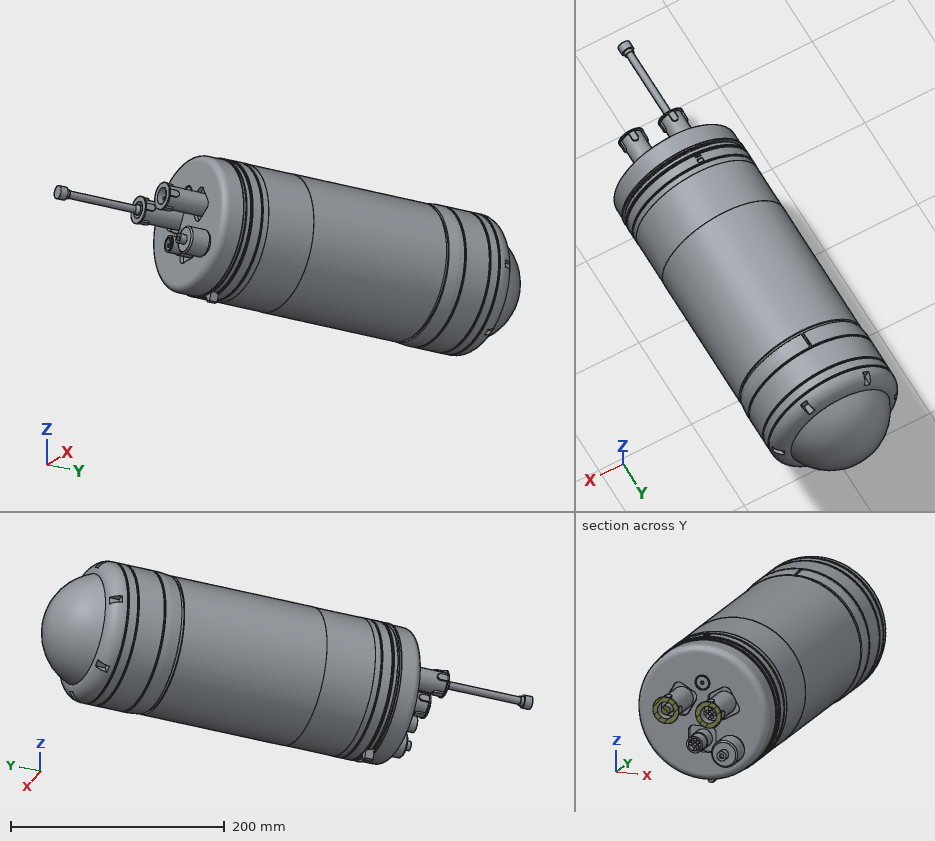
import cadquery as cq
import math


tube_dia = 133.0
band_dia = tube_dia - 0.5
rear_cap_dia = 131.0
rear_face_dia = 118.0
rear_neck_dia = 128.0
nose_dia = 135.5
neck_dia = 129.0

bead_start, bead_end = 21.5, 23.5
rear_neck_end = 25.3
rear_cap_end = 29.0
band_start, band_end = 48.5, 98.0
neck_start, neck_end = 244.0, 246.5
nose_taper_end = 257.5
nose_front = 319.0
nose_round = 14.5
dome_tip = 356.0

groove_width = 1.5
groove_depth = 1.0
cut_clearance = 5.0
tube_groove_stations = [30.5, 42.0]
nose_groove_stations = [264.0, 291.5, 301.5]

notch_count = 6
notch_width = 7.0
notch_floor_radius = 59.3
notch_start, notch_end = 308.0, 317.5

slit_width = 2.0
slit_depth = 2.5
clasp_x = -8.5
clasp_width = 5.5
clasp_depth = 2.0
clasp_pockets = [(32.0, 34.0), (36.5, 40.5)]

tab_start, tab_end = 23.0, 31.0
tab_root_width = 11.5
tab_tip_width = 4.0
tab_drop = 6.0
tab_overlap = 1.5
tab_root_z = -rear_cap_dia / 2 + tab_overlap
tab_tip_z = -nose_dia / 2 - tab_drop

recess_length, recess_width = 27.5, 25.3
recess_corner = 6.0
recess_depth = 4.0

barrel_x, barrel_z = 21.5, 12.0
barrel_tilt = 60
barrel_dia = 22.0
lug_count = 4
barrel_length = 41.5
bore_dia = 16.0
bore_depth = 10.5
lip_dia = 26.0
lip_length = 1.5
lug_width = 6.5
lug_length = 11.5
lug_height = 1.5
pin_dia = 3.0
pin_length = 6.0
pin_circle_dia = 9.0
pin_count = 4

lower_z = -25.0
lower_base_dia, lower_base_length = 17.5, 8.5
lower_tip_dia, lower_length = 16.0, 20.5
lower_bore_dia, lower_bore_depth = 12.5, 7.5

plug_x, plug_z = 30.0, -30.5
plug_dia, plug_length = 26.0, 22.0
plug_chamfer = 1.5
plug_foot_dia, plug_foot_length = 23.0, 2.5
plug_tip_dia, plug_tip_length = 9.0, 7.0
plug_hole_dia, plug_hole_depth = 4.3, 3.0

vent_z = 30.0
vent_outer_dia, vent_inner_dia = 14.5, 12.5
vent_groove_depth = 1.5
vent_hole_dia, vent_hole_depth = 3.25, 3.0

antenna_dia = 7.5
antenna_stem_dia = 9.0
antenna_flare_dia = 10.5
antenna_flare_length = 4.5
antenna_length = 129.5
antenna_cap_dia = 12.5
antenna_cap_length = 8.0
antenna_collar_length = 3.5
antenna_socket_depth = 7.5


def rear_disc(x, z, dia, start, end):
    """Cylinder along Y between two distances measured rearward from the rear face."""
    return cq.Workplane("XZ", origin=(x, -start, z)).circle(dia / 2).extrude(end - start)


def box_between(x_range, y_range, z_range):
    """Axis-aligned box given by its limits."""
    sizes = [high - low for low, high in (x_range, y_range, z_range)]
    corner = (x_range[0], y_range[0], z_range[0])
    return cq.Workplane("XY", origin=corner).box(*sizes, centered=False)


def housing_shell():
    """Turned outline of the rear cap, tube, nose and dome."""
    rear_round = (rear_cap_dia - rear_face_dia) / 2
    nose_radius = nose_dia / 2
    dome_base_radius = nose_radius - nose_round
    dome_height = dome_tip - nose_front
    dome_radius = (dome_base_radius ** 2 + dome_height ** 2) / (2 * dome_height)
    dome_centre = dome_tip - dome_radius
    mid_dome = 0.5 * math.asin(dome_base_radius / dome_radius)
    diagonal = math.sqrt(0.5)
    return (
        cq.Workplane("XY")
        .lineTo(rear_face_dia / 2, 0)
        .threePointArc(
            (rear_face_dia / 2 + rear_round * diagonal, rear_round * (1 - diagonal)),
            (rear_cap_dia / 2, rear_round),
        )
        .lineTo(rear_cap_dia / 2, bead_start)
        .lineTo(tube_dia / 2, bead_start)
        .lineTo(tube_dia / 2, bead_end)
        .lineTo(rear_neck_dia / 2, bead_end)
        .lineTo(rear_neck_dia / 2, rear_neck_end)
        .lineTo(rear_cap_dia / 2, rear_neck_end)
        .lineTo(rear_cap_dia / 2, rear_cap_end)
        .lineTo(tube_dia / 2, rear_cap_end)
        .lineTo(tube_dia / 2, band_start)
        .lineTo(band_dia / 2, band_start)
        .lineTo(band_dia / 2, band_end)
        .lineTo(tube_dia / 2, band_end)
        .lineTo(tube_dia / 2, neck_start)
        .lineTo(neck_dia / 2, neck_start)
        .lineTo(neck_dia / 2, neck_end)
        .lineTo(tube_dia / 2, neck_end)
        .lineTo(nose_radius, nose_taper_end)
        .lineTo(nose_radius, nose_front - nose_round)
        .threePointArc(
            (dome_base_radius + nose_round * diagonal, nose_front - nose_round * (1 - diagonal)),
            (dome_base_radius, nose_front),
        )
        .threePointArc(
            (dome_radius * math.sin(mid_dome), dome_centre + dome_radius * math.cos(mid_dome)),
            (0, dome_tip),
        )
        .close()
        .revolve(360, (0, 0, 0), (0, 1, 0))
    )


def ring_groove(outer_dia, station):
    """Narrow square groove round the housing, centred on a station along Y."""
    start = -station - groove_width / 2
    end = -station + groove_width / 2
    blank = rear_disc(0, 0, nose_dia + cut_clearance, start, end)
    core_dia = outer_dia - 2 * groove_depth
    return blank.cut(rear_disc(0, 0, core_dia, start, end))


def nose_notches():
    """Notches in the rounded shoulder of the nose, spaced round the axis."""
    notch = box_between(
        (notch_floor_radius, nose_dia / 2),
        (notch_start, notch_end),
        (-notch_width / 2, notch_width / 2),
    )
    step = 360 / notch_count
    return [notch.rotate((0, 0, 0), (0, 1, 0), step * i) for i in range(notch_count)]


def top_slot(x, width, y_range, depth, outer_dia):
    """Short slot cut into the top of a ring of the given diameter."""
    return box_between(
        (x - width / 2, x + width / 2), y_range, (outer_dia / 2 - depth, outer_dia / 2 + cut_clearance)
    )


def clamp_tab():
    """Tapered tab hanging below the rear cap."""
    return (
        cq.Workplane("XZ", origin=(0, tab_end, 0))
        .moveTo(-tab_root_width / 2, tab_root_z)
        .lineTo(tab_root_width / 2, tab_root_z)
        .lineTo(tab_tip_width / 2, tab_tip_z)
        .lineTo(-tab_tip_width / 2, tab_tip_z)
        .close()
        .extrude(tab_end - tab_start)
    )


def flange_recess(x, z, tilt):
    """Rounded rectangular recess in the rear face."""
    return (
        cq.Workplane("XZ", origin=(x, recess_depth, z))
        .rect(recess_length, recess_width)
        .extrude(recess_depth)
        .edges("|Y")
        .fillet(recess_corner)
        .rotate((x, 0, z), (x, 1, z), tilt)
    )


def barrel_socket(x, z):
    """Barrel with a lip, rounded lugs and a blind bore."""
    barrel = rear_disc(x, z, barrel_dia, -recess_depth, barrel_length)
    barrel = barrel.union(rear_disc(x, z, lip_dia, barrel_length - lip_length, barrel_length))
    lug_reach = barrel_dia / 2 + lug_height
    lug_round_y = lug_length - lug_width / 2 - barrel_length
    lug = (
        cq.Workplane("YZ", origin=(x, 0, z))
        .moveTo(-barrel_length, -lug_width / 2)
        .lineTo(lug_round_y, -lug_width / 2)
        .threePointArc((lug_round_y + lug_width / 2, 0), (lug_round_y, lug_width / 2))
        .lineTo(-barrel_length, lug_width / 2)
        .close()
        .extrude(lug_reach)
    )
    for i in range(lug_count):
        barrel = barrel.union(lug.rotate((x, 0, z), (x, 1, z), 360 / lug_count * i))
    return barrel.cut(rear_disc(x, z, bore_dia, barrel_length - bore_depth, barrel_length))


def contact_pins(x, z, floor):
    """Centre pin and ring of pins standing on a bore floor."""
    pins = [rear_disc(x, z, pin_dia, floor, floor + pin_length)]
    for i in range(pin_count):
        angle = 2 * math.pi * i / pin_count
        pin_x = x + pin_circle_dia / 2 * math.cos(angle)
        pin_z = z + pin_circle_dia / 2 * math.sin(angle)
        pins.append(rear_disc(pin_x, pin_z, pin_dia, floor, floor + pin_length))
    return pins


def lower_connector():
    """Stepped round connector with a blind bore."""
    connector = rear_disc(0, lower_z, lower_base_dia, -recess_depth, lower_base_length)
    connector = connector.union(rear_disc(0, lower_z, lower_tip_dia, 0, lower_length))
    return connector.cut(rear_disc(0, lower_z, lower_bore_dia, lower_length - lower_bore_depth, lower_length))


def round_plug():
    """Wide plug on a narrower foot, with a drilled stub at its end."""
    head = rear_disc(plug_x, plug_z, plug_dia, plug_foot_length, plug_length)
    plug = head.faces("<Y").chamfer(plug_chamfer)
    plug = plug.union(rear_disc(plug_x, plug_z, plug_foot_dia, 0, plug_length))
    tip_end = plug_length + plug_tip_length
    plug = plug.union(rear_disc(plug_x, plug_z, plug_tip_dia, 0, tip_end))
    return plug.cut(rear_disc(plug_x, plug_z, plug_hole_dia, tip_end - plug_hole_depth, tip_end))


def vent_cut():
    """Ring groove and centre hole of the vent in the rear face."""
    ring = rear_disc(0, vent_z, vent_outer_dia, -vent_groove_depth, 0)
    ring = ring.cut(rear_disc(0, vent_z, vent_inner_dia, -vent_groove_depth, 0))
    return ring.union(rear_disc(0, vent_z, vent_hole_dia, -vent_hole_depth, 0))


def make_housing():
    """Complete camera housing with its rear connectors."""
    housing = housing_shell()
    for station in tube_groove_stations:
        housing = housing.cut(ring_groove(tube_dia, station))
    for station in nose_groove_stations:
        housing = housing.cut(ring_groove(nose_dia, station))
    for notch in nose_notches():
        housing = housing.cut(notch)
    nose_slit_range = (neck_end, nose_groove_stations[0])
    housing = housing.cut(top_slot(0, slit_width, nose_slit_range, slit_depth, nose_dia))
    for y_range in clasp_pockets:
        housing = housing.cut(top_slot(clasp_x, clasp_width, y_range, clasp_depth, tube_dia))
    housing = housing.union(clamp_tab())

    for side in (-1, 1):
        housing = housing.cut(flange_recess(side * barrel_x, barrel_z, side * barrel_tilt))
        housing = housing.union(barrel_socket(side * barrel_x, barrel_z))
    floor = barrel_length - bore_depth
    for pin in contact_pins(barrel_x, barrel_z, floor):
        housing = housing.union(pin)
    stem_hole = rear_disc(-barrel_x, barrel_z, antenna_stem_dia, floor - antenna_socket_depth, floor)
    housing = housing.cut(stem_hole)

    housing = housing.cut(flange_recess(0, lower_z, 0)).union(lower_connector())
    for pin in contact_pins(0, lower_z, lower_length - lower_bore_depth):
        housing = housing.union(pin)
    return housing.union(round_plug()).cut(vent_cut())


def make_antenna():
    """Antenna rod whose stem sits in the hole of the -X barrel."""
    stem_start = barrel_length - bore_depth - antenna_socket_depth
    flare_end = barrel_length + antenna_flare_length
    cap_start = antenna_length - antenna_cap_length
    collar_start = cap_start - antenna_collar_length
    stem = rear_disc(-barrel_x, barrel_z, antenna_stem_dia, stem_start, barrel_length)
    flare = (
        cq.Workplane("XZ", origin=(-barrel_x, -barrel_length, barrel_z))
        .circle(antenna_flare_dia / 2)
        .workplane(offset=antenna_flare_length)
        .circle(antenna_dia / 2)
        .loft()
    )
    rod = rear_disc(-barrel_x, barrel_z, antenna_dia, flare_end, collar_start)
    collar = rear_disc(-barrel_x, barrel_z, antenna_stem_dia, collar_start, cap_start)
    cap = rear_disc(-barrel_x, barrel_z, antenna_cap_dia, cap_start, antenna_length)
    return stem.union(flare).union(rod).union(collar).union(cap)


housing = make_housing()
antenna = make_antenna()
result = cq.Compound.makeCompound([housing.val(), antenna.val()])